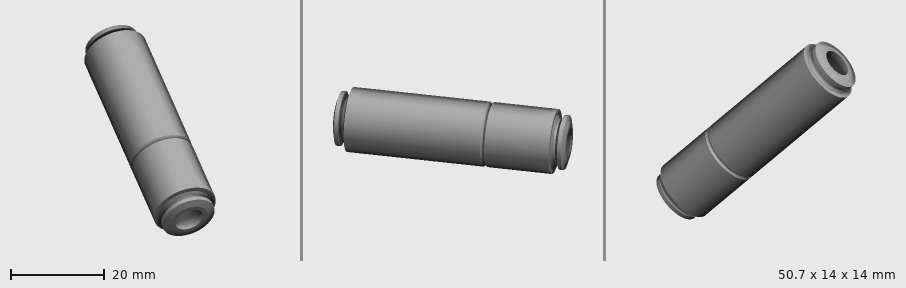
import cadquery as cq

length = 50.7
body_diameter = 14.0
bore_diameter = 6.35

collar_diameter = 11.8
neck_diameter = 8.35
collar_taper_length = 0.5
collar_inner_face = 1.4

shoulder_start = 2.05
shoulder_break = 2.5
body_start = 2.95
shoulder_small_diameter = 10.15
shoulder_break_diameter = 10.45
shoulder_large_diameter = 11.8

groove_center = 7.85
groove_half_width = 0.45
groove_depth = 0.5

half_length = length / 2
body_radius = body_diameter / 2


def end_profile(side):
    """Outline points from the end face to the body; side is -1 or +1."""
    stations = [
        (0, neck_diameter),
        (collar_taper_length, collar_diameter),
        (collar_inner_face, collar_diameter),
        (collar_inner_face, neck_diameter),
        (shoulder_start, neck_diameter),
        (shoulder_start, shoulder_small_diameter),
        (shoulder_break, shoulder_break_diameter),
        (body_start, shoulder_large_diameter),
        (body_start, body_diameter),
    ]
    return [(side * (half_length - inset), diameter / 2) for inset, diameter in stations]


def groove_profile():
    """Outline points of the V groove, from left to right."""
    return [
        (groove_center - groove_half_width, body_radius),
        (groove_center, body_radius - groove_depth),
        (groove_center + groove_half_width, body_radius),
    ]


bore_radius = bore_diameter / 2
outer_outline = end_profile(-1) + groove_profile() + end_profile(1)[::-1]
bore_outline = [(half_length, bore_radius), (-half_length, bore_radius)]

result = (
    cq.Workplane("XY")
    .polyline(outer_outline + bore_outline)
    .close()
    .revolve(360, (0, 0, 0), (1, 0, 0))
)